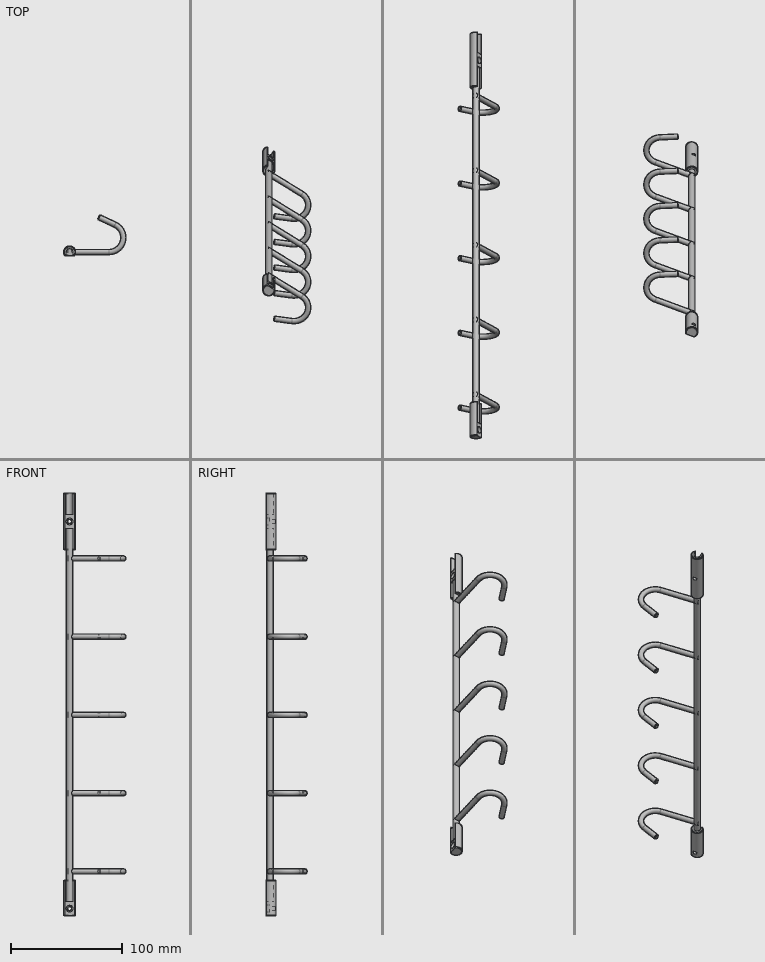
import cadquery as cq
import math

total_height = 379
overall_width = 56.0
overall_depth = 36.8

rod_diameter = 6.0
rod_radius = rod_diameter / 2

clip_diameter = 11.0
flat_offset = 3.5
clip_chamfer = 0.8
upper_clip_length = 51.0
block_length = 13.0
screw_hole_diameter = 3.5
counterbore_diameter = 6.0
counterbore_depth = 3.0
clip_radius = clip_diameter / 2
socket_length = (upper_clip_length - block_length) / 2
lower_clip_length = block_length + socket_length
upper_clip_bottom = total_height - upper_clip_length

rod_bottom = block_length
rod_top = upper_clip_bottom + socket_length

hook_count = 5
hook_pitch = 70.0
lowest_hook_height = 39.8
hook_diameter = 5.0
shank_start = -1.6
bend_radius = 13.0
tip_slope = 25
tip_chamfer = 0.8
hook_radius = hook_diameter / 2
bend_x = overall_width - clip_radius - bend_radius - hook_radius
slope_sin = math.sin(math.radians(tip_slope))
slope_cos = math.cos(math.radians(tip_slope))
bend_end = (bend_x + bend_radius * slope_sin, bend_radius * (1 + slope_cos))
tip_overhang = max(
    (hook_radius - tip_chamfer) * slope_cos,
    hook_radius * slope_cos - tip_chamfer * slope_sin,
)
tip_rise = overall_depth - flat_offset - bend_end[1] - tip_overhang
tip_end = (bend_end[0] - tip_rise * slope_cos / slope_sin, bend_end[1] + tip_rise)


def upright_cylinder(radius, bottom, length):
    """Cylinder on the rod axis."""
    return cq.Workplane("XY", origin=(0, 0, bottom)).circle(radius).extrude(length)


def make_hook(height):
    """Bent round wire with a chamfered tip."""
    half_turn = math.radians((180 - tip_slope) / 2)
    bend_middle = (
        bend_x + bend_radius * math.sin(half_turn),
        bend_radius * (1 - math.cos(half_turn)),
    )
    path = (
        cq.Workplane("XY", origin=(0, 0, height))
        .moveTo(shank_start, 0)
        .lineTo(bend_x, 0)
        .threePointArc(bend_middle, bend_end)
        .lineTo(*tip_end)
    )
    wire = (
        cq.Workplane("YZ", origin=(shank_start, 0, height))
        .circle(hook_radius)
        .sweep(path)
    )
    tip_direction = cq.Vector(-slope_cos, slope_sin, 0)
    tip_face = cq.selectors.DirectionNthSelector(tip_direction, -1)
    return wire.faces(tip_face).chamfer(tip_chamfer)


def make_rod(hook_heights):
    """Straight rod with a blind cross hole for the shank of each hook."""
    rod = upright_cylinder(rod_radius, rod_bottom, rod_top - rod_bottom)
    for height in hook_heights:
        cross_hole = (
            cq.Workplane("YZ", origin=(shank_start, 0, height))
            .circle(hook_radius)
            .extrude(rod_diameter)
        )
        rod = rod.cut(cross_hole)
    return rod


def make_socket(bottom):
    """Cutter for a round-backed slot that takes the rod and is open to the front."""
    bore = upright_cylinder(rod_radius, bottom, socket_length)
    mouth = (
        cq.Workplane("XY", origin=(0, -clip_radius / 2, bottom))
        .rect(rod_diameter, clip_radius)
        .extrude(socket_length)
    )
    return bore.union(mouth)


def make_clip(bottom, length, block_bottom, socket_bottoms):
    """Clip with a counterbored screw hole through its block and a socket at each given height."""
    bar = upright_cylinder(clip_radius, bottom, length).faces("<Z or >Z").chamfer(clip_chamfer)
    behind_flat = (
        cq.Workplane("XY", origin=(0, clip_radius - flat_offset, bottom))
        .rect(clip_diameter, clip_diameter)
        .extrude(length)
    )
    clip = bar.intersect(behind_flat)
    for socket_bottom in socket_bottoms:
        clip = clip.cut(make_socket(socket_bottom))
    hole_center = (0, -flat_offset, block_bottom + block_length / 2)
    return clip.copyWorkplane(cq.Workplane("XZ", origin=hole_center)).cboreHole(
        screw_hole_diameter, counterbore_diameter, counterbore_depth
    )


hook_heights = [lowest_hook_height + i * hook_pitch for i in range(hook_count)]
hooks = [make_hook(height) for height in hook_heights]
rod = make_rod(hook_heights)
upper_clip = make_clip(
    upper_clip_bottom,
    upper_clip_length,
    rod_top,
    [upper_clip_bottom, rod_top + block_length],
)
lower_clip = make_clip(0, lower_clip_length, 0, [block_length])

result = cq.Compound.makeCompound(
    [rod.val(), upper_clip.val(), lower_clip.val(), *[hook.val() for hook in hooks]]
)